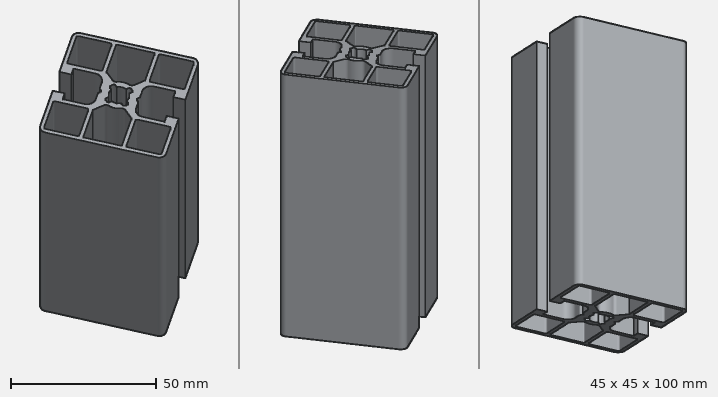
import cadquery as cq
import math

side = 45.0
length = 100.0
outer_radius = 2.5
wall = 1.5
half = side / 2
inner_half = half - wall

web_outer = 8.4
web_inner = web_outer - wall
corner_floor = 8.5
chamber_radius = 0.7
middle_top_radius = 0.4

slot_mouth = 8.5
slot_height = 13.8
lip_depth = 4.3
slot_bottom = 7.2
slot_radius = 3.2
groove_half_width = 1.0
groove_tip_radius = 0.2
groove_edge_radius = 0.3

core_radius = 5.8
core_blend_radius = 1.4
taper_top = 8.6
taper_angle = 44.0
bore_radius = 3.6
lobe_reach = 5.0
lobe_width = 2.1
lobe_corner_radius = 0.6


def prism(sketch):
    """Extrude a closed outline over the full length."""
    return sketch.extrude(length)


def corner_chamber(x_sign, y_sign):
    """Rounded rectangular chamber in the corner given by the two signs."""
    width = inner_half - web_outer
    height = inner_half - corner_floor
    x_middle = x_sign * (inner_half + web_outer) / 2
    y_middle = y_sign * (inner_half + corner_floor) / 2
    chamber = prism(cq.Workplane("XY").center(x_middle, y_middle).rect(width, height))
    return chamber.edges("|Z").fillet(chamber_radius)


def middle_chamber():
    """Chamber on the +Y side: straight sides, two tapers and a floor wrapped around the core."""
    angle = math.radians(taper_angle)
    taper_distance = taper_top * math.cos(angle) - web_inner * math.sin(angle)
    foot_angle = math.pi / 2 + angle - math.acos(taper_distance / core_radius)
    foot_x = core_radius * math.cos(foot_angle)
    foot_y = core_radius * math.sin(foot_angle)
    chamber = prism(
        cq.Workplane("XY")
        .moveTo(-web_inner, inner_half)
        .lineTo(-web_inner, taper_top)
        .lineTo(-foot_x, foot_y)
        .threePointArc((0, core_radius), (foot_x, foot_y))
        .lineTo(web_inner, taper_top)
        .lineTo(web_inner, inner_half)
        .close()
    )
    chamber = chamber.edges("|Z and >Y").fillet(middle_top_radius)
    return chamber.edges("|Z and <Y").fillet(core_blend_radius)


def t_slot():
    """T-slot open to -X, with an eased V-groove along its bottom."""
    cavity_outer = half - lip_depth
    cavity = prism(
        cq.Workplane("XY")
        .center(-(cavity_outer + slot_bottom) / 2, 0)
        .rect(cavity_outer - slot_bottom, slot_height)
    )
    cavity = cavity.edges("|Z and >X").fillet(slot_radius)
    mouth = prism(
        cq.Workplane("XY")
        .center(-(half + cavity_outer) / 2, 0)
        .rect(lip_depth, slot_mouth)
    )
    groove = prism(
        cq.Workplane("XY")
        .moveTo(-slot_bottom, -groove_half_width)
        .lineTo(-slot_bottom + groove_half_width, 0)
        .lineTo(-slot_bottom, groove_half_width)
        .close()
    )
    groove = groove.edges("|Z and >X").fillet(groove_tip_radius)
    slot = cavity.union(mouth).union(groove)
    groove_edges = cq.selectors.BoxSelector(
        (-slot_bottom - groove_edge_radius, -2 * groove_half_width, 0),
        (-slot_bottom + groove_edge_radius, 2 * groove_half_width, length),
    )
    return slot.edges("|Z").edges(groove_edges).fillet(groove_edge_radius)


def core_bore():
    """Round bore with four flat-ended lobes on its diagonals."""
    bore = prism(cq.Workplane("XY").circle(bore_radius))
    lobe_pair = prism(cq.Workplane("XY").rect(2 * lobe_reach, lobe_width))
    lobe_pair = lobe_pair.edges("|Z").fillet(lobe_corner_radius)
    for angle in (45, 135):
        bore = bore.union(lobe_pair.rotate((0, 0, 0), (0, 0, 1), angle))
    return bore


result = prism(cq.Workplane("XY").rect(side, side))
result = result.edges("|Z").fillet(outer_radius)

for x_sign in (-1, 1):
    for y_sign in (-1, 1):
        result = result.cut(corner_chamber(x_sign, y_sign))

for turn in (0, 180):
    result = result.cut(middle_chamber().rotate((0, 0, 0), (0, 0, 1), turn))
    result = result.cut(t_slot().rotate((0, 0, 0), (0, 0, 1), turn))

result = result.cut(core_bore())